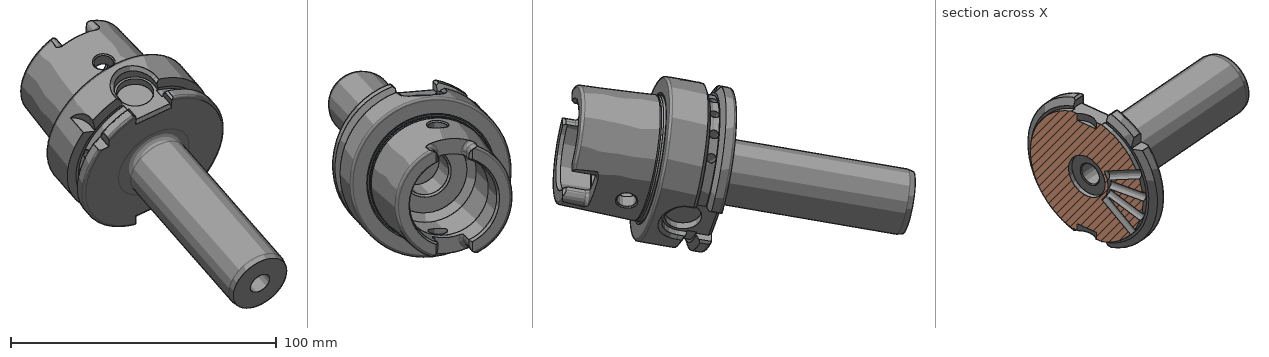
import cadquery as cq
import math

overall_length = 132.0

nose_tip_diameter = 45.7
nose_root_diameter = 48.2
nose_tip_round = 1.0
nose_taper_end = 30.0

relief_diameter = 47.5
relief_start = 30.6
collar_start = 31.3
relief_depth = 0.4
relief_floor_diameter = 49.4
relief_rim_diameter = 50.4

flange_diameter = 63.0
flange_front = 32.0
flange_back = 58.0
flange_front_round = 0.9
flange_back_round = 1.0
groove_diameter = 55.0
groove_front = 48.3
groove_back = 52.0
vee_diameter = 57.3
vee_angle = math.radians(60)

shank_diameter = 25.0
shank_fillet = 3.3
shank_end_length = 2.2
shank_end_depth = 0.5

mouth_diameter = 35.4
mouth_length = 1.6
lip_diameter = 34.0
lip_end = 13.2
cavity_diameter = 37.0
flare_angle = math.radians(60)
cavity_end = 38.0
cavity_floor_diameter = 31.3
seat_diameter = 17.4
seat_mouth_diameter = 19.0
seat_end = 52.0
through_diameter = 8.6
through_mouth_diameter = 9.4

notch_width = 12.1
notch_round = 3.3
notch_wall_height = 17.5
notch_root_fillet = 1.5
notch_entry_chamfer = 1.0
top_notch_depth = 6.2
bottom_notch_depth = 10.0

cross_hole_diameter = 7.4
cross_hole_chamfer = 0.5
cross_hole_position = 23.0

keyway_width = 16.0
keyway_center = 44.9
keyway_floor = 26.5
keyway_front_chamfer = 1.5
keyway_back_chamfer = 1.0
keyway_floor_bevel = 1.2
pocket_diameter = 14.0
pocket_depth = 3.0

corner_offset = 20.0
corner_cutter_radius = 8.2

balance_hole_diameter = 3.5
balance_hole_depth = 17.2
balance_first_angle = 24.8
balance_pitch_angle = 20.0
balance_count = 4

clearance = 0.1


def make_outside():
    flange_radius = flange_diameter / 2
    shank_radius = shank_diameter / 2
    vee_length = (flange_diameter - vee_diameter) / 2 / math.tan(vee_angle)
    outline = (
        cq.Workplane("XY")
        .moveTo(0, 0)
        .lineTo(0, nose_tip_diameter / 2 - nose_tip_round)
        .radiusArc((nose_tip_round, nose_tip_diameter / 2), nose_tip_round)
        .lineTo(nose_taper_end, nose_root_diameter / 2)
        .lineTo(relief_start, relief_diameter / 2)
        .lineTo(collar_start, nose_root_diameter / 2)
        .lineTo(flange_front + relief_depth, nose_root_diameter / 2)
        .lineTo(flange_front + relief_depth, relief_floor_diameter / 2)
        .lineTo(flange_front, relief_rim_diameter / 2)
        .lineTo(flange_front, flange_radius - flange_front_round)
        .radiusArc((flange_front + flange_front_round, flange_radius), flange_front_round)
        .lineTo(groove_front - vee_length, flange_radius)
        .lineTo(groove_front, vee_diameter / 2)
        .lineTo(groove_front, groove_diameter / 2)
        .lineTo(groove_back, groove_diameter / 2)
        .lineTo(groove_back, vee_diameter / 2)
        .lineTo(groove_back + vee_length, flange_radius)
        .lineTo(flange_back - flange_back_round, flange_radius)
        .radiusArc((flange_back, flange_radius - flange_back_round), flange_back_round)
        .lineTo(flange_back, shank_radius + shank_fillet)
        .radiusArc((flange_back + shank_fillet, shank_radius), -shank_fillet)
        .lineTo(overall_length - shank_end_length, shank_radius)
        .lineTo(overall_length, shank_radius - shank_end_depth)
        .lineTo(overall_length, 0)
        .close()
    )
    return outline.revolve(360, (0, 0, 0), (1, 0, 0))


def make_bore():
    flare_length = (cavity_diameter - lip_diameter) / 2 / math.tan(flare_angle)
    floor_bevel = (cavity_diameter - cavity_floor_diameter) / 2
    seat_chamfer = (seat_mouth_diameter - seat_diameter) / 2
    through_chamfer = (through_mouth_diameter - through_diameter) / 2
    outline = cq.Workplane("XY").polyline([
        (0, 0),
        (0, mouth_diameter / 2),
        (mouth_length, lip_diameter / 2),
        (lip_end, lip_diameter / 2),
        (lip_end + flare_length, cavity_diameter / 2),
        (cavity_end - floor_bevel, cavity_diameter / 2),
        (cavity_end, cavity_floor_diameter / 2),
        (cavity_end, seat_mouth_diameter / 2),
        (cavity_end + seat_chamfer, seat_diameter / 2),
        (seat_end, seat_diameter / 2),
        (seat_end, through_mouth_diameter / 2),
        (seat_end + through_chamfer, through_diameter / 2),
        (overall_length, through_diameter / 2),
        (overall_length, 0),
    ]).close()
    return outline.revolve(360, (0, 0, 0), (1, 0, 0))


def make_drive_notch(depth):
    """Notch whose upright walls round over into a flat rim, with a bevelled entry."""
    half_width = notch_width / 2
    round_top = notch_wall_height + notch_round
    round_end = half_width + notch_round
    reach = flange_diameter / 2
    notch = (
        cq.Workplane("YZ")
        .moveTo(-half_width, 0)
        .lineTo(half_width, 0)
        .lineTo(half_width, notch_wall_height)
        .radiusArc((round_end, round_top), notch_round)
        .lineTo(reach, round_top)
        .lineTo(reach, reach)
        .lineTo(-reach, reach)
        .lineTo(-reach, round_top)
        .lineTo(-round_end, round_top)
        .radiusArc((-half_width, notch_wall_height), notch_round)
        .close()
        .extrude(depth)
    )
    notch = notch.faces(">X").edges("not(>Z or <Z)").fillet(notch_root_fillet)
    entry_half_width = half_width + notch_entry_chamfer
    entry = (
        cq.Workplane("XY")
        .moveTo(0, -entry_half_width)
        .lineTo(notch_entry_chamfer, -half_width)
        .lineTo(notch_entry_chamfer, half_width)
        .lineTo(0, entry_half_width)
        .close()
        .extrude(reach)
    )
    return notch.union(entry)


def drill_cross_hole(solid):
    """Drill through both sides of the nose and break the two outer edges."""
    reach = nose_root_diameter / 2
    radius = cross_hole_diameter / 2
    hole = (
        cq.Workplane("XY", origin=(cross_hole_position, 0, -reach))
        .circle(radius)
        .extrude(2 * reach)
    )
    mouth_edges = cq.selectors.BoxSelector(
        (cross_hole_position - radius, -radius, -reach),
        (cross_hole_position + radius, radius, reach),
    )
    return solid.cut(hole).edges(mouth_edges).chamfer(cross_hole_chamfer)


def make_keyway_bar(start, end, rim_chamfer):
    """Length of round bar with the keyway cut into it and the keyway rim bevelled."""
    radius = flange_diameter / 2
    half_width = keyway_width / 2
    bar = cq.Workplane("YZ", origin=(start, 0, 0)).circle(radius).extrude(end - start)
    slot = (
        cq.Workplane("XY", origin=(keyway_center, 0, keyway_floor))
        .moveTo(0, -half_width)
        .lineTo(overall_length, -half_width)
        .lineTo(overall_length, half_width)
        .lineTo(0, half_width)
        .threePointArc((-half_width, 0), (0, -half_width))
        .close()
        .extrude(radius)
    )
    rim = cq.selectors.BoxSelector(
        (start + clearance, -keyway_width, (keyway_floor + radius) / 2),
        (end - clearance, keyway_width, radius + clearance),
    )
    return bar.cut(slot).edges(rim).chamfer(rim_chamfer)


def make_keyway_envelope():
    """Round bar carrying one complete keyway; the part is trimmed to it."""
    groove_middle = (groove_front + groove_back) / 2
    bar = make_keyway_bar(0, groove_middle, keyway_front_chamfer)
    bar = bar.union(make_keyway_bar(groove_middle, overall_length, keyway_back_chamfer))
    pocket = (
        cq.Workplane("XY", origin=(keyway_center, 0, keyway_floor - pocket_depth))
        .circle(pocket_diameter / 2)
        .extrude(pocket_depth)
    )
    floor_bevel = (
        cq.Workplane("XZ")
        .moveTo(flange_back - keyway_floor_bevel, keyway_floor)
        .lineTo(flange_back, keyway_floor - keyway_floor_bevel)
        .lineTo(flange_back, keyway_floor)
        .close()
        .extrude(keyway_width / 2, both=True)
    )
    return bar.cut(pocket).cut(floor_bevel)


def make_corner_notch():
    """L-shaped notch with a rounded end, open towards the back of the flange."""
    size = 2 * corner_cutter_radius
    run_out = flange_back - keyway_center
    cutter_y = -corner_offset - corner_cutter_radius
    floor = cq.Workplane("XY", origin=(keyway_center, cutter_y, corner_offset))
    end = floor.circle(corner_cutter_radius).extrude(size)
    return end.union(floor.center(run_out / 2, 0).rect(run_out, size).extrude(size))


def make_balance_hole(angle):
    """Blind radial hole on the -Y side, raised towards +Z by the angle."""
    groove_middle = (groove_front + groove_back) / 2
    hole = (
        cq.Workplane("XZ", origin=(groove_middle, -groove_diameter / 2 + balance_hole_depth, 0))
        .circle(balance_hole_diameter / 2)
        .extrude(balance_hole_depth + clearance)
    )
    return hole.rotate((0, 0, 0), (1, 0, 0), -angle)


def turned_over(shape):
    """The same shape on the opposite side of the turning axis."""
    return shape.rotate((0, 0, 0), (1, 0, 0), 180)


keyway_envelope = make_keyway_envelope()

result = drill_cross_hole(make_outside()).cut(make_bore())
result = result.cut(make_drive_notch(top_notch_depth))
result = result.cut(turned_over(make_drive_notch(bottom_notch_depth)))
result = result.intersect(keyway_envelope)
result = result.intersect(turned_over(keyway_envelope))
result = result.cut(make_corner_notch())
for index in range(balance_count):
    result = result.cut(make_balance_hole(balance_first_angle - index * balance_pitch_angle))